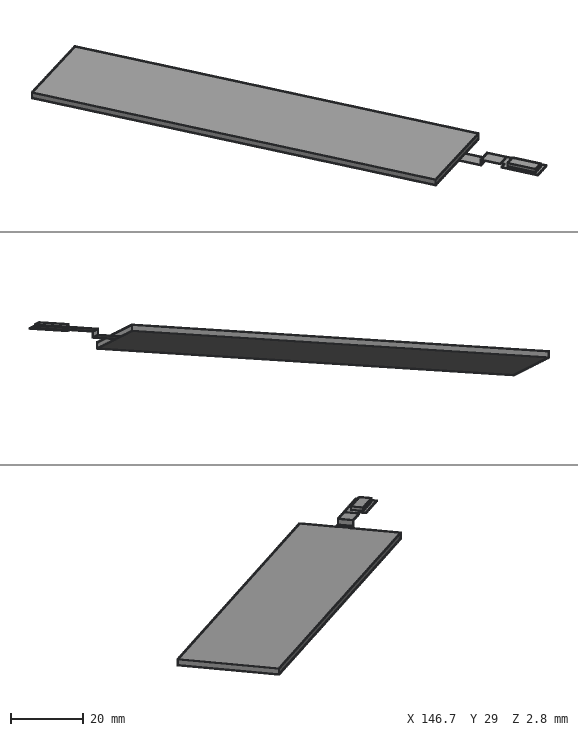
import cadquery as cq

total_length = 146.7
total_height = 2.8
plate_length = 122.1
plate_width = 29.0
plate_thickness = 1.8

film_thickness = 0.06
tail_back_y = 5.5
tail_width = 4.4
riser_end_x = 128.8
tail_top_z = plate_thickness

pad_start_x = 135.7
neck_start_x = 134.7
neck_front_y = 1.5
pad_width = 6.0
pad_front_y = tail_back_y - pad_width
pad_thickness = 0.09
pad_bottom_z = tail_top_z - film_thickness
pad_top_z = pad_bottom_z + pad_thickness

connector_length = 8.5
connector_width = 3.5
connector_start_x = 137.0
connector_front_y = 0.6


def block(x_range, y_range, z_range):
    """Box spanning the given (low, high) range along each axis."""
    spans = [high - low for low, high in (x_range, y_range, z_range)]
    corner = (x_range[0], y_range[0], z_range[0])
    return cq.Workplane("XY").box(*spans, centered=False).translate(corner)


def stepped_tail():
    """Thin Z-shaped strip: low run, vertical riser, high run to the neck."""
    profile = [
        (plate_length, 0),
        (riser_end_x, 0),
        (riser_end_x, tail_top_z - film_thickness),
        (neck_start_x, tail_top_z - film_thickness),
        (neck_start_x, tail_top_z),
        (riser_end_x - film_thickness, tail_top_z),
        (riser_end_x - film_thickness, film_thickness),
        (plate_length, film_thickness),
    ]
    strip = cq.Workplane("XZ", origin=(0, tail_back_y, 0)).polyline(profile).close()
    return strip.extrude(tail_width)


plate = block(
    (0, plate_length),
    (-plate_width / 2, plate_width / 2),
    (0, plate_thickness),
)
neck = block(
    (neck_start_x, pad_start_x),
    (neck_front_y, tail_back_y),
    (pad_bottom_z, pad_top_z),
)
pad = block(
    (pad_start_x, total_length),
    (pad_front_y, tail_back_y),
    (pad_bottom_z, pad_top_z),
)
connector = block(
    (connector_start_x, connector_start_x + connector_length),
    (connector_front_y, connector_front_y + connector_width),
    (pad_top_z, total_height),
)

result = plate.union(stepped_tail()).union(neck).union(pad).union(connector)